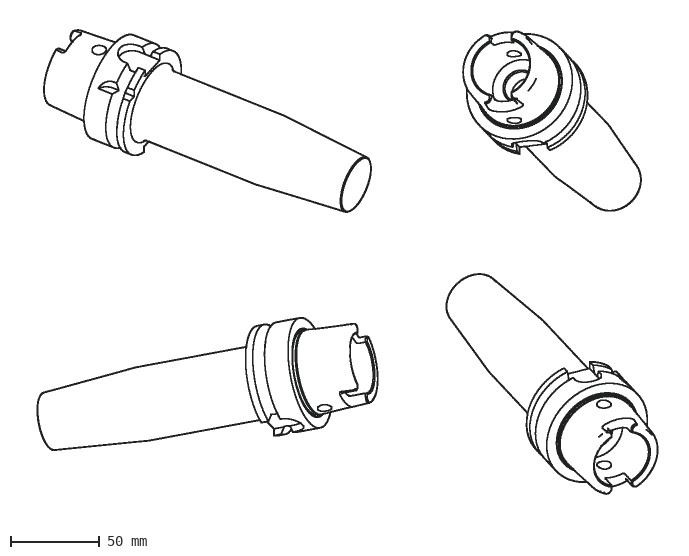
import math

import cadquery as cq

shank_length = 32.0
flange_length = 26.0
overall_length = 192.0
shank_end_x = -shank_length
nose_x = overall_length - shank_length

taper_gauge_radius = 24.005
taper_gauge_x = -6.3
taper_slope = 1 / 20
shank_rim_fillet = 1.0
relief_start_x = -2.1
relief_floor_x = -1.2
relief_radius = 23.9
relief_face_depth = 0.5
relief_face_radius = 24.9
relief_mouth_radius = 25.4

flange_radius = 31.5
groove_floor_radius = 27.3
groove_left_x = 14.4
groove_floor_start_x = 16.3
groove_floor_end_x = 19.6
groove_right_x = 21.6
groove_floor_fillet = 0.7

body_radius = 21.0
shoulder_fillet = 6.5
shoulder_end_x = flange_length + 5.4
cone_start_x = 103.0
nose_radius = 16.5
nose_chamfer = 0.5

mouth_radius = 17.0
mouth_chamfer = 0.7
clamp_cone_start_x = -19.5
bore_floor_x = 0.0
bore_floor_radius = 16.0
tube_hole_radius = 9.0
tube_hole_chamfer = 0.8
tube_hole_depth = 12.0

drive_slot_width = 12.0
drive_slot_corner = 1.3
drive_slot_mouth_chamfer = 0.7
chamfer_angle = 45.0
drive_slot_flare_radius = 3.0
drive_slot_flare_height = 20.7
drive_slot_flare_half_width = 12.0
drive_slot_top_depth = 6.1
drive_slot_bottom_depth = 10.1

cross_hole_diameter = 8.0
cross_hole_x = -9.0

top_keyway_width = 16.0
bottom_keyway_width = 18.0
keyway_start_x = 4.7
keyway_floor = 26.0
notch_start_x = 4.4
notch_width = 16.0
notch_edge = 19.8


def taper_radius(x):
    """Radius of the shank taper at axial position x."""
    return taper_gauge_radius + (x - taper_gauge_x) * taper_slope


def revolve_about_x(profile):
    """Close a half profile on the X axis and turn it into a solid."""
    return profile.close().revolve(360, (0, 0, 0), (1, 0, 0))


def outer_body():
    """Solid turned shape: taper shank, grooved flange, shoulder, body and conical nose."""
    fillet_centre_r = body_radius + shoulder_fillet
    shoulder_run = shoulder_end_x - flange_length
    shoulder_radius = fillet_centre_r - math.sqrt(shoulder_fillet**2 - shoulder_run**2)
    profile = (
        cq.Workplane("XY")
        .moveTo(shank_end_x, 0)
        .lineTo(shank_end_x, taper_radius(shank_end_x))
        .lineTo(relief_start_x, taper_radius(relief_start_x))
        .lineTo(relief_floor_x, relief_radius)
        .lineTo(relief_face_depth, relief_radius)
        .lineTo(relief_face_depth, relief_face_radius)
        .lineTo(0, relief_mouth_radius)
        .lineTo(0, flange_radius)
        .lineTo(groove_left_x, flange_radius)
        .lineTo(groove_floor_start_x, groove_floor_radius)
        .lineTo(groove_floor_end_x, groove_floor_radius)
        .lineTo(groove_right_x, flange_radius)
        .lineTo(flange_length, flange_radius)
        .lineTo(flange_length, shoulder_radius)
        .radiusArc((shoulder_end_x, body_radius), -shoulder_fillet)
        .lineTo(cone_start_x, body_radius)
        .lineTo(nose_x, nose_radius)
        .lineTo(nose_x, 0)
    )
    body = revolve_about_x(profile)
    floor_ends = cq.selectors.BoxSelector(
        (groove_floor_start_x - groove_floor_fillet, -flange_radius, -flange_radius),
        (groove_floor_end_x + groove_floor_fillet, flange_radius, flange_radius),
    )
    body = body.edges("%CIRCLE").edges(floor_ends).fillet(groove_floor_fillet)
    body = body.faces("<X").edges().fillet(shank_rim_fillet)
    return body.faces(">X").edges().chamfer(nose_chamfer)


def clamping_bore():
    """Blind bore from the shank end, tapering to a flat floor with a smaller hole in its centre."""
    tube_hole_end_x = bore_floor_x + tube_hole_depth
    profile = (
        cq.Workplane("XY")
        .moveTo(shank_end_x, 0)
        .lineTo(shank_end_x, mouth_radius + mouth_chamfer)
        .lineTo(shank_end_x + mouth_chamfer, mouth_radius)
        .lineTo(clamp_cone_start_x, mouth_radius)
        .lineTo(bore_floor_x, bore_floor_radius)
        .lineTo(bore_floor_x, tube_hole_radius + tube_hole_chamfer)
        .lineTo(bore_floor_x + tube_hole_chamfer, tube_hole_radius)
        .lineTo(tube_hole_end_x, tube_hole_radius)
        .lineTo(tube_hole_end_x, 0)
    )
    return revolve_about_x(profile)


def drive_slot_section(growth):
    """Closed slot section facing +X at the shank end, grown outward by the given amount."""
    wall_y = drive_slot_width / 2 + growth
    flare_radius = drive_slot_flare_radius - growth
    flare_centre_y = wall_y + flare_radius
    flare_z = drive_slot_flare_height - growth
    flare_start_z = flare_z - flare_radius
    outer_y = drive_slot_flare_half_width + growth
    return (
        cq.Workplane("YZ", origin=(shank_end_x, 0, 0))
        .moveTo(-wall_y, 0)
        .lineTo(-wall_y, flare_start_z)
        .radiusArc((-flare_centre_y, flare_z), -flare_radius)
        .lineTo(-outer_y, flare_z)
        .lineTo(-outer_y, flange_radius)
        .lineTo(outer_y, flange_radius)
        .lineTo(outer_y, flare_z)
        .lineTo(flare_centre_y, flare_z)
        .radiusArc((wall_y, flare_start_z), -flare_radius)
        .lineTo(wall_y, 0)
        .close()
    )


def drive_slot(depth):
    """Cutter for a slot above the axis: flared walls, rounded bottom corners, chamfered mouth."""
    slot = drive_slot_section(0).extrude(depth)
    slot = slot.faces(">X").edges().fillet(drive_slot_corner)
    mouth_section = drive_slot_section(drive_slot_mouth_chamfer)
    mouth = mouth_section.extrude(drive_slot_mouth_chamfer, taper=chamfer_angle)
    return slot.union(mouth)


def cross_hole():
    """Cutter along Z that pierces both walls of the shank."""
    outline = cq.Workplane("XY").center(cross_hole_x, 0).circle(cross_hole_diameter / 2)
    return outline.extrude(flange_radius, both=True)


def round_ended_cutter(start_x, width, centre_y, floor_z):
    """Vertical milling cut from floor_z upward, round at its shank end, open at the flange end."""
    half_width = width / 2
    arc_x = start_x + half_width
    return (
        cq.Workplane("XY", origin=(0, centre_y, floor_z))
        .moveTo(flange_length, -half_width)
        .lineTo(arc_x, -half_width)
        .threePointArc((start_x, 0), (arc_x, half_width))
        .lineTo(flange_length, half_width)
        .close()
        .extrude(flange_radius)
    )


top_keyway = round_ended_cutter(keyway_start_x, top_keyway_width, 0, keyway_floor)
bottom_keyway = round_ended_cutter(keyway_start_x, bottom_keyway_width, 0, keyway_floor).mirror("XY")
notch_centre_y = -notch_edge - notch_width / 2
corner_notch = round_ended_cutter(notch_start_x, notch_width, notch_centre_y, notch_edge)
cutters = [
    clamping_bore(),
    drive_slot(drive_slot_top_depth),
    drive_slot(drive_slot_bottom_depth).mirror("XY"),
    cross_hole(),
    top_keyway,
    bottom_keyway,
    corner_notch,
]

result = outer_body()
for cutter in cutters:
    result = result.cut(cutter)